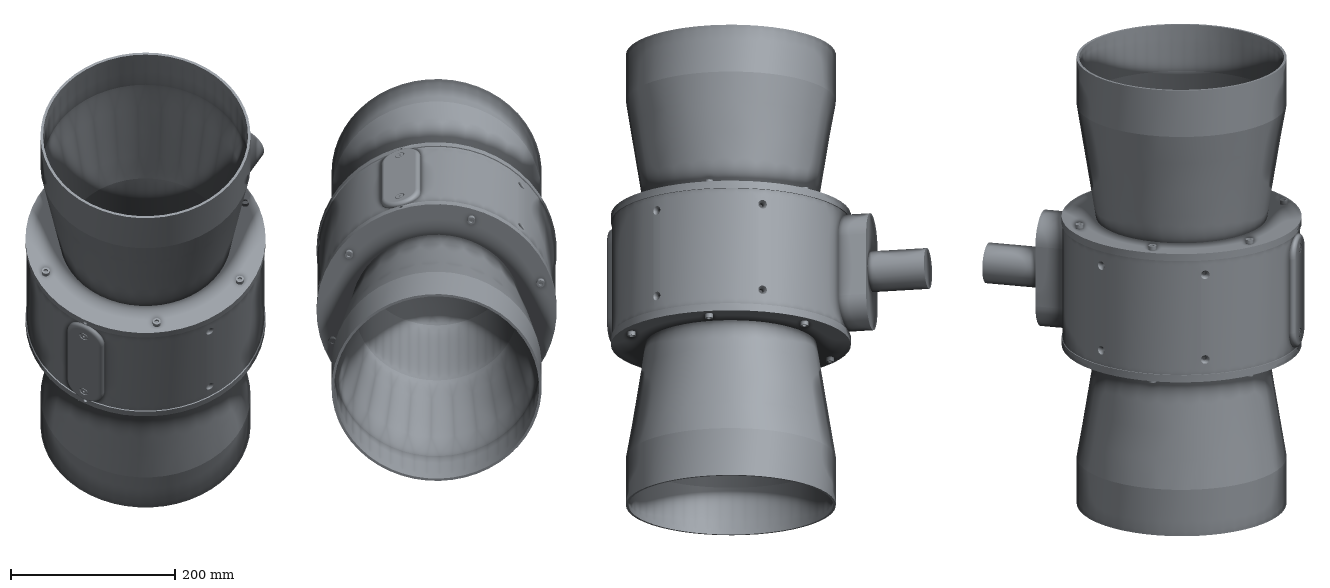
import cadquery as cq
import math

FRONT = 270

total_height = 573.0
half_height = total_height / 2

collar_diameter = 256.0
collar_bore = 250.0
collar_length = 59.5
cone_small_diameter = 209.0
throat_diameter = 200.0

flange_diameter = 293.0
flange_radius = flange_diameter / 2
flange_thickness = 9.0
flange_top = 82.5
housing_diameter = 290.0
housing_top = flange_top - flange_thickness
housing_radius = housing_diameter / 2

flange_screw_angles = (0, 54, 126, 180, 234, 306)
flange_screw_circle_radius = 133.0
flange_screw_head_diameter = 10.0
flange_screw_head_height = 5.0
flange_screw_socket = 5.3
flange_screw_socket_depth = 3.0

wall_hole_angles = (27, 153, 207, 333)
screw_row_height = 54.5
wall_seat_diameter = 11.0
wall_seat_depth = 4.5
wall_pilot_diameter = 5.3
wall_pilot_depth = 6.0

rim_hole_diameter = 5.0
rim_hole_depth = 3.0
rim_hole_height = 77.0

cover_width = 50.0
cover_height = 145.0
cover_face = 150.0
cover_edge_radius = 5.0
cover_hole_diameter = 12.0
cover_hole_depth = 3.0
cover_screw_diameter = 10.0
cover_screw_socket = 3.0

boss_width = 69.5
boss_height = 146.0
boss_face = 175.5
shaft_diameter = 50.0
shaft_end = 245.0


def duct_body():
    """Housing, flanges, cones and collars turned in one profile about Z."""
    cone_top = half_height - collar_length
    upper = [
        (throat_diameter / 2, housing_top),
        (collar_bore / 2, cone_top),
        (collar_bore / 2, half_height),
        (collar_diameter / 2, half_height),
        (collar_diameter / 2, cone_top),
        (cone_small_diameter / 2, flange_top),
        (flange_radius, flange_top),
        (flange_radius, housing_top),
        (housing_radius, housing_top),
    ]
    lower = [(radius, -z) for radius, z in reversed(upper)]
    profile = cq.Workplane("XZ").polyline(upper + lower).close()
    return profile.revolve(360, (0, 0, 0), (0, 1, 0))


def radial_direction(angle):
    """Unit vector pointing away from the Z axis at the given angle in degrees."""
    return cq.Vector(math.cos(math.radians(angle)), math.sin(math.radians(angle)), 0)


def radial_cylinder(angle, z, diameter, inner_radius, outer_radius):
    """Cylinder pointing outwards from the Z axis at the given angle and height."""
    direction = radial_direction(angle)
    base = direction * inner_radius + cq.Vector(0, 0, z)
    return cq.Workplane(cq.Solid.makeCylinder(diameter / 2, outer_radius - inner_radius, base, direction))


def flange_screws():
    """Socket-head screws standing on the top flange face."""
    spots = [radial_direction(angle) * flange_screw_circle_radius for angle in flange_screw_angles]
    head_top = flange_top + flange_screw_head_height
    heads = cq.Workplane("XY").workplane(offset=flange_top).pushPoints(spots)
    heads = heads.circle(flange_screw_head_diameter / 2).extrude(flange_screw_head_height)
    sockets = cq.Workplane("XY").workplane(offset=head_top).pushPoints(spots)
    sockets = sockets.circle(flange_screw_socket / 2).extrude(-flange_screw_socket_depth)
    return heads.cut(sockets)


def upright_slot(height, width, distance):
    """Obround standing along Z, reaching the given distance from the axis along -Y, or +Y if negative."""
    return cq.Workplane("XZ").slot2D(height, width, 90).extrude(distance)


def cover_plate():
    """Obround cover at the front with its outer edge rounded."""
    plate = upright_slot(cover_height, cover_width, cover_face)
    return plate.faces("<Y").edges().fillet(cover_edge_radius)


def rear_boss():
    """Obround boss at the back carrying a round shaft."""
    boss = upright_slot(boss_height, boss_width, -boss_face)
    shaft = cq.Workplane("XZ").circle(shaft_diameter / 2).extrude(-shaft_end)
    return boss.union(shaft)


def cover_screw_recess(z):
    """Counterbore around a flush socket-head screw, together with the screw's socket."""
    floor_radius = cover_face - cover_hole_depth
    counterbore = radial_cylinder(FRONT, z, cover_hole_diameter, floor_radius, cover_face)
    head = radial_cylinder(FRONT, z, cover_screw_diameter, floor_radius, cover_face)
    socket = radial_cylinder(FRONT, z, cover_screw_socket, floor_radius, cover_face)
    return counterbore.cut(head).union(socket)


def wall_hole(angle, z):
    """Conical screw seat in the housing wall, with a blind pilot hole at its bottom."""
    direction = radial_direction(angle)
    seat_floor = housing_radius - wall_seat_depth
    base = direction * seat_floor + cq.Vector(0, 0, z)
    seat = cq.Solid.makeCone(
        wall_pilot_diameter / 2, wall_seat_diameter / 2, wall_seat_depth, base, direction
    )
    pilot = radial_cylinder(angle, z, wall_pilot_diameter, seat_floor - wall_pilot_depth, seat_floor)
    return pilot.union(cq.Workplane(seat))


def rim_hole(z):
    """Blind pin hole in the front of a flange rim."""
    inner_end = flange_radius - rim_hole_depth
    outer_end = flange_radius + rim_hole_depth
    return radial_cylinder(FRONT, z, rim_hole_diameter, inner_end, outer_end)


duct_clearance = cq.Workplane("XY").circle(cone_small_diameter / 2).extrude(half_height, both=True)
attachments = cover_plate().union(rear_boss()).cut(duct_clearance)

top_screws = flange_screws()
bottom_screws = top_screws.mirror("XY")
result = duct_body().union(attachments).union(top_screws).union(bottom_screws)

for side in (-1, 1):
    for hole_angle in wall_hole_angles:
        result = result.cut(wall_hole(hole_angle, side * screw_row_height))
    result = result.cut(cover_screw_recess(side * screw_row_height))
    result = result.cut(rim_hole(side * rim_hole_height))